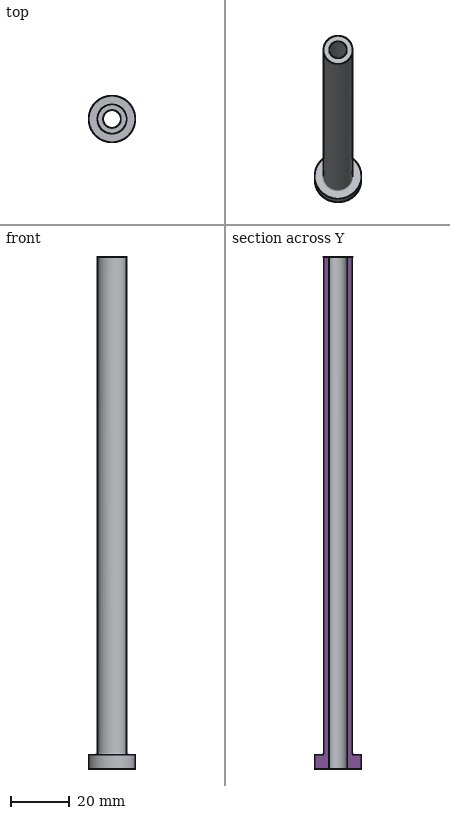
import cadquery as cq

total_length = 175.0
head_diameter = 16.0
head_height = 5.0
shank_diameter = 10.0
bore_diameter = 6.0
neck_fillet_radius = 0.5


def make_cylinder(diameter, height):
    """Cylinder about the Z axis, standing on Z = 0."""
    return cq.Workplane("XY").circle(diameter / 2).extrude(height)


def round_neck(body):
    """Fillet the inner corner where the shank leaves the head."""
    head_top = body.faces(cq.selectors.NearestToPointSelector((0, 0, head_height)))
    neck_edge = head_top.edges(cq.selectors.RadiusNthSelector(0))
    return neck_edge.fillet(neck_fillet_radius)


head = make_cylinder(head_diameter, head_height)
shank = make_cylinder(shank_diameter, total_length)
body = round_neck(head.union(shank))

bore = make_cylinder(bore_diameter, total_length)
result = body.cut(bore)